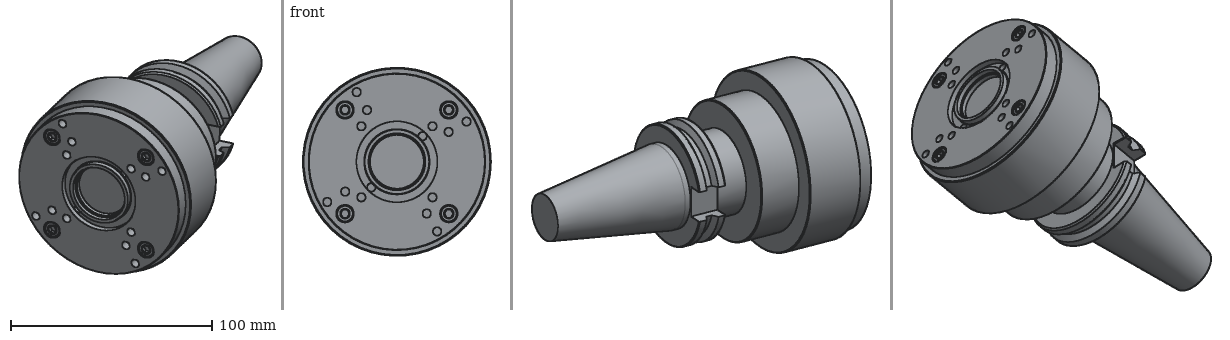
import cadquery as cq
import math

gauge_dia = 44.45
taper_rate = 7 / 24
taper_length = 68.36

flange_dia = 63.0
flange_back_y = -3.2
flange_front_y = -19.1
flange_back_chamfer = 0.5
flange_front_chamfer = 0.9
groove_dia = 56.25
groove_y = -11.1
groove_width = 7.0
groove_wall_angle = 30
slot_width = 16.1
slot_floor = 22.8
slot_chamfer = 0.4
slot_overrun = 1.0

neck_front_y = -36.0
hub_dia = 73.0
hub_front_y = -58.0
body_dia = 93.65
body_front_y = -88.0
body_chamfer = 0.5
plate_dia = 88.0
plate_chamfer = 0.3
face_y = -96.0

recess_dia = 40.3
boss_dia = 32.0
boss_foot_chamfer = 0.3
recess_depth = 3.3
bore_dia = 28.4
bore_step_depth = 2.6
bore_lead_chamfer = 0.4
bore_inner_dia = 26.7
bore_depth = 5.5

screw_circle_radius = 36.5
counterbore_dia = 8.8
counterbore_depth = 1.0
screw_head_dia = 7.7
screw_head_length = 0.7
socket_across_corners = 4.4
socket_rim_dia = 4.9
socket_rim_depth = 0.2
socket_depth = 2.5

small_hole_dia = 4.2
small_hole_depth = 6.0
small_hole_circles = [
    (40.0, 30, 90, 4),
    (29.7, 30, 90, 4),
    (25.0, 45, 90, 4),
]
recess_hole_radius = 18.0


def polar_points(radius, first_angle, step, count):
    """Points (x, z) spaced evenly along a circle about the spindle axis."""
    angles = [math.radians(first_angle + step * i) for i in range(count)]
    return [(radius * math.cos(a), radius * math.sin(a)) for a in angles]


def plane_facing_shank(y, centre=(0, 0)):
    """Workplane at station y with its normal along +Y, centred on (x, z)."""
    return cq.Workplane(cq.Plane(origin=(centre[0], y, centre[1]), xDir=(1, 0, 0), normal=(0, 1, 0)))


def cylinder(dia, start_y, depth, centre=(0, 0)):
    """Cylinder along Y from start_y, reaching depth toward the shank (+Y)."""
    return plane_facing_shank(start_y, centre).circle(dia / 2).extrude(depth)


def turned_tool(profile):
    """Solid turned about Y from (radius, depth behind the face) points."""
    points = [(radius, face_y + depth) for radius, depth in profile]
    return cq.Workplane("XY").polyline(points).close().revolve(360, (0, 0, 0), (0, 1, 0))


def stepped_blank():
    """Shank, flange, neck, hub, body and plate turned about Y."""
    gauge_r = gauge_dia / 2
    small_end_r = (gauge_dia - taper_rate * taper_length) / 2
    flange_r = flange_dia / 2
    groove_r = groove_dia / 2
    hub_r = hub_dia / 2
    body_r = body_dia / 2
    plate_r = plate_dia / 2
    half_mouth = groove_width / 2
    half_floor = half_mouth - (flange_r - groove_r) * math.tan(math.radians(groove_wall_angle))
    profile = [
        (0, taper_length),
        (small_end_r, taper_length),
        (gauge_r, 0),
        (gauge_r, flange_back_y),
        (flange_r - flange_back_chamfer, flange_back_y),
        (flange_r, flange_back_y - flange_back_chamfer),
        (flange_r, groove_y + half_mouth),
        (groove_r, groove_y + half_floor),
        (groove_r, groove_y - half_floor),
        (flange_r, groove_y - half_mouth),
        (flange_r, flange_front_y + flange_front_chamfer),
        (flange_r - flange_front_chamfer, flange_front_y),
        (gauge_r, flange_front_y),
        (gauge_r, neck_front_y),
        (hub_r - body_chamfer, neck_front_y),
        (hub_r, neck_front_y - body_chamfer),
        (hub_r, hub_front_y),
        (body_r - body_chamfer, hub_front_y),
        (body_r, hub_front_y - body_chamfer),
        (body_r, body_front_y + body_chamfer),
        (body_r - body_chamfer, body_front_y),
        (plate_r, body_front_y),
        (plate_r, face_y + plate_chamfer),
        (plate_r - plate_chamfer, face_y),
        (0, face_y),
    ]
    return cq.Workplane("XY").polyline(profile).close().revolve(360, (0, 0, 0), (0, 1, 0))


def drive_slot(side):
    """Slot through the full flange width on the +X (side 1) or -X (side -1) side, flared at the front."""
    outer_x = flange_dia / 2 + slot_overrun
    length = flange_back_y - flange_front_y
    slot_depth = outer_x - slot_floor
    mid_x = side * (outer_x + slot_floor) / 2
    slot = plane_facing_shank(flange_front_y, (mid_x, 0)).rect(slot_depth, slot_width).extrude(length)
    flare_shift = side * slot_chamfer / 2
    flare = (
        plane_facing_shank(flange_front_y, (mid_x - flare_shift, 0))
        .rect(slot_depth + slot_chamfer, slot_width + 2 * slot_chamfer)
        .workplane(offset=slot_chamfer)
        .center(flare_shift, 0)
        .rect(slot_depth, slot_width)
        .loft(ruled=True)
    )
    return slot.union(flare)


def face_recess():
    """Annular recess around a boss whose foot is chamfered."""
    boss = cylinder(boss_dia, face_y, recess_depth)
    foot = turned_tool(
        [
            (0, recess_depth),
            (0, recess_depth - boss_foot_chamfer),
            (boss_dia / 2, recess_depth - boss_foot_chamfer),
            (boss_dia / 2 + boss_foot_chamfer, recess_depth),
        ]
    )
    return cylinder(recess_dia, face_y, recess_depth).cut(boss).cut(foot)


def central_bore():
    """Blind bore with a narrow shoulder and a chamfer leading into its smaller inner part."""
    mouth_r = bore_dia / 2
    inner_r = bore_inner_dia / 2
    lead_r = inner_r + bore_lead_chamfer
    return turned_tool(
        [
            (0, 0),
            (mouth_r, 0),
            (mouth_r, bore_step_depth),
            (lead_r, bore_step_depth),
            (inner_r, bore_step_depth + bore_lead_chamfer),
            (inner_r, bore_depth),
            (0, bore_depth),
        ]
    )


def hex_socket(centre, start_y):
    """Hexagonal prism along Y from start_y."""
    return plane_facing_shank(start_y, centre).polygon(6, socket_across_corners).extrude(socket_depth)


def screw_pocket(centre):
    """Counterbore clearance left around a socket head screw."""
    pocket = cylinder(counterbore_dia, face_y, counterbore_depth, centre)
    head_y = face_y + counterbore_depth - screw_head_length
    pocket = pocket.cut(cylinder(screw_head_dia, head_y, screw_head_length, centre))
    pocket = pocket.union(cylinder(socket_rim_dia, head_y, socket_rim_depth, centre))
    return pocket.union(hex_socket(centre, head_y))


result = stepped_blank()
for side in (-1, 1):
    result = result.cut(drive_slot(side))
result = result.cut(face_recess()).cut(central_bore())

for point in polar_points(screw_circle_radius, 45, 90, 4):
    result = result.cut(screw_pocket(point))

for circle in small_hole_circles:
    for point in polar_points(*circle):
        result = result.cut(cylinder(small_hole_dia, face_y, small_hole_depth, point))

for point in polar_points(recess_hole_radius, 45, 180, 2):
    result = result.cut(cylinder(small_hole_dia, face_y + recess_depth, small_hole_depth, point))